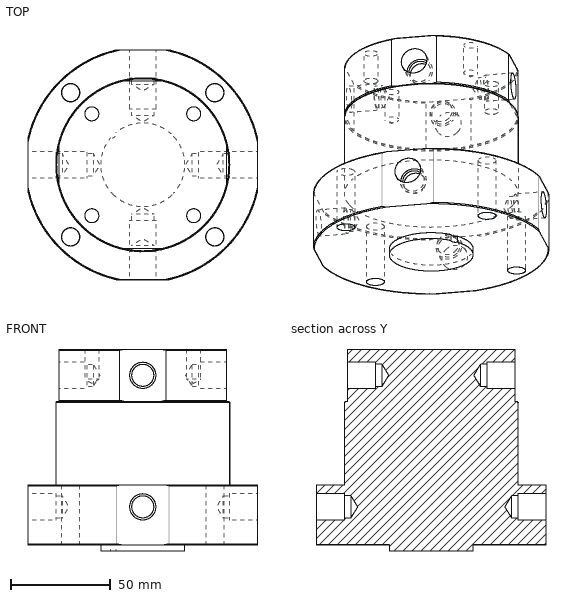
import cadquery as cq
import math

spigot_height = 3.2
flange_height = 30.0
body_height = 41.7
cap_height = 26.0
flange_bottom = spigot_height
flange_top = flange_bottom + flange_height
body_top = flange_top + body_height
cap_top = body_top + cap_height

spigot_diameter = 42.0
flange_diameter = 118.0
flange_across_flats = 115.0
body_diameter = 87.0
cap_across_flats = 84.0
edge_chamfer = 0.5

port_diameter = 13.1
port_depth = 14.0
port_drill_diameter = 11.0
port_drill_depth = 17.2
cap_port_height = cap_top - 13.0
flange_port_height = flange_top - 11.0
flat_angles = (0, 90, 180, 270)

flange_hole_diameter = 9.0
flange_hole_spacing = 72.1
cap_hole_diameter = 7.0
cap_hole_spacing = 51.0
cap_hole_depth = 15.0
drill_tip_angle = 118

notch_diameter = 4.4
notch_angle = 135
notch_centre_radius = 22.0


def disc(diameter, bottom, height):
    return cq.Workplane("XY").workplane(offset=bottom).circle(diameter / 2).extrude(height)


def flatted_disc(diameter, across_flats, bottom, height):
    """Disc with chamfered rims, trimmed by four flats."""
    rounded = disc(diameter, bottom, height).faces("<Z or >Z").chamfer(edge_chamfer)
    trim = (
        cq.Workplane("XY")
        .workplane(offset=bottom)
        .rect(across_flats, across_flats)
        .extrude(height)
    )
    return rounded.intersect(trim)


def drill_tip_length(diameter):
    return diameter / 2 / math.tan(math.radians(drill_tip_angle / 2))


def port_cutter(across_flats, height):
    """Threaded-size bore, then a smaller drilling with a conical end, entering from +X."""
    face = across_flats / 2
    port_radius = port_diameter / 2
    drill_radius = port_drill_diameter / 2
    drill_end = face - port_drill_depth
    tip = drill_end - drill_tip_length(port_drill_diameter)
    return (
        cq.Workplane("XZ")
        .moveTo(face, 0)
        .lineTo(face, port_radius)
        .lineTo(face - port_depth, port_radius)
        .lineTo(face - port_depth, drill_radius)
        .lineTo(drill_end, drill_radius)
        .lineTo(tip, 0)
        .close()
        .revolve(360, (0, 0, 0), (1, 0, 0))
        .translate((0, 0, height))
    )


def cut_ports(part, across_flats, height):
    cutter = port_cutter(across_flats, height)
    for angle in flat_angles:
        part = part.cut(cutter.rotate((0, 0, 0), (0, 0, 1), angle))
    return part


def cap_hole_cutter():
    """Blind drilled hole with a conical end, entering from above."""
    radius = cap_hole_diameter / 2
    hole_end = cap_top - cap_hole_depth
    return (
        cq.Workplane("XZ")
        .moveTo(0, cap_top)
        .lineTo(radius, cap_top)
        .lineTo(radius, hole_end)
        .lineTo(0, hole_end - drill_tip_length(cap_hole_diameter))
        .close()
        .revolve(360, (0, 0, 0), (0, 1, 0))
    )


def cut_square_pattern(part, cutter, spacing):
    for x in (-spacing / 2, spacing / 2):
        for y in (-spacing / 2, spacing / 2):
            part = part.cut(cutter.translate((x, y, 0)))
    return part


spigot = disc(spigot_diameter, 0, spigot_height)
flange = flatted_disc(flange_diameter, flange_across_flats, flange_bottom, flange_height)
body = disc(body_diameter, flange_top, body_height).faces(">Z").chamfer(edge_chamfer)
cap = flatted_disc(body_diameter, cap_across_flats, body_top, cap_height)

notch_x = notch_centre_radius * math.cos(math.radians(notch_angle))
notch_y = notch_centre_radius * math.sin(math.radians(notch_angle))
notch = disc(notch_diameter, 0, spigot_height).translate((notch_x, notch_y, 0))
spigot = spigot.cut(notch)

result = spigot.union(flange).union(body).union(cap)

result = cut_ports(result, flange_across_flats, flange_port_height)
result = cut_ports(result, cap_across_flats, cap_port_height)
flange_hole = disc(flange_hole_diameter, flange_bottom, flange_height)
result = cut_square_pattern(result, flange_hole, flange_hole_spacing)
result = cut_square_pattern(result, cap_hole_cutter(), cap_hole_spacing)